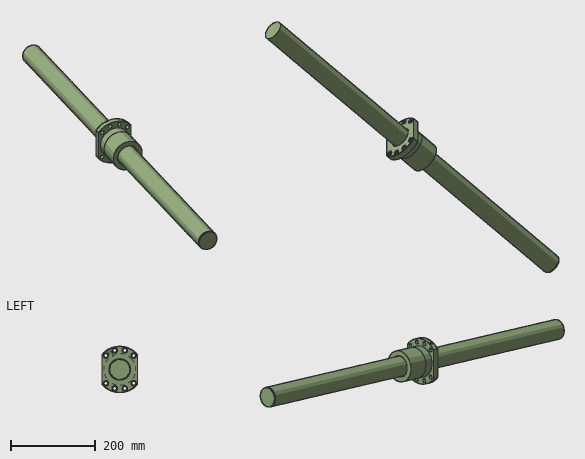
import cadquery as cq
import math

shaft_length = 1000.0
shaft_diameter = 48.0
end_chamfer_length = 3.0
end_chamfer_depth = 1.0

nut_length = 88.0
recess_diameter = 51.0
recess_depth = 5.0
flange_thickness = 15.0
flange_diameter = 110.0
flange_width = 85.0
rim_chamfer = 1.0
barrel_diameter = 75.0
neck_end = 36.0
neck_relief = 0.2

bolt_circle_diameter = 93.0
bolt_hole_diameter = 9.0
bolt_hole_chamfer = 2.0
bolt_angles = (45, 75, 105, 135)

oil_hole_diameter = 6.0
oil_hole_depth = 20.0
oil_hole_angle = 60
oil_hole_offset = flange_thickness / 2

nut_start = -nut_length / 2


def cylinder_along_x(start, length, diameter):
    return cq.Workplane("YZ", origin=(start, 0, 0)).circle(diameter / 2).extrude(length)


def make_shaft():
    """Plain round shaft with a chamfer at its +X end."""
    shaft = cylinder_along_x(-shaft_length / 2, shaft_length, shaft_diameter)
    return shaft.faces(">X").edges().chamfer(end_chamfer_length, end_chamfer_depth)


def make_flange():
    """Round flange with two parallel flats facing -Y and +Y."""
    disc = cylinder_along_x(nut_start, flange_thickness, flange_diameter)
    disc = disc.faces("<X").edges().chamfer(rim_chamfer)
    flats = (
        cq.Workplane("YZ", origin=(nut_start, 0, 0))
        .rect(flange_width, flange_diameter)
        .extrude(flange_thickness)
    )
    return disc.intersect(flats)


def make_bolt_holes():
    """Through holes chamfered at the front, as cutting shapes."""
    radius = bolt_circle_diameter / 2
    points = []
    for side in (1, -1):
        for angle in bolt_angles:
            turn = math.radians(angle)
            points.append((radius * math.cos(turn), side * radius * math.sin(turn)))
    centres = cq.Workplane("YZ", origin=(nut_start, 0, 0)).pushPoints(points)
    holes = centres.circle(bolt_hole_diameter / 2).extrude(flange_thickness)
    mouth_radius = bolt_hole_diameter / 2 + bolt_hole_chamfer
    mouths = centres.circle(mouth_radius).extrude(bolt_hole_chamfer, taper=45)
    return holes.union(mouths)


def make_oil_hole():
    """Blind radial drilling that starts at the flange rim, as a cutting shape."""
    turn = math.radians(oil_hole_angle)
    outward = cq.Vector(0, math.cos(turn), math.sin(turn))
    hole_centre = cq.Vector(nut_start + oil_hole_offset, 0, 0)
    bottom = hole_centre + outward * (flange_diameter / 2 - oil_hole_depth)
    return cq.Solid.makeCylinder(oil_hole_diameter / 2, oil_hole_depth, bottom, outward)


def make_nut():
    """Flange, neck and barrel, bored to fit the shaft and recessed at both ends."""
    neck = cylinder_along_x(nut_start, neck_end, barrel_diameter - neck_relief)
    barrel = cylinder_along_x(nut_start + neck_end, nut_length - neck_end, barrel_diameter)
    bore = cylinder_along_x(nut_start, nut_length, shaft_diameter)
    front_recess = cylinder_along_x(nut_start, recess_depth, recess_diameter)
    rear_recess = cylinder_along_x(nut_start + nut_length - recess_depth, recess_depth, recess_diameter)
    bore = bore.union(front_recess).union(rear_recess)
    blank = make_flange().union(neck).union(barrel)
    return blank.cut(bore).cut(make_bolt_holes()).cut(make_oil_hole())


shaft = make_shaft()
nut = make_nut()

result = cq.Compound.makeCompound([shaft.val(), nut.val()])